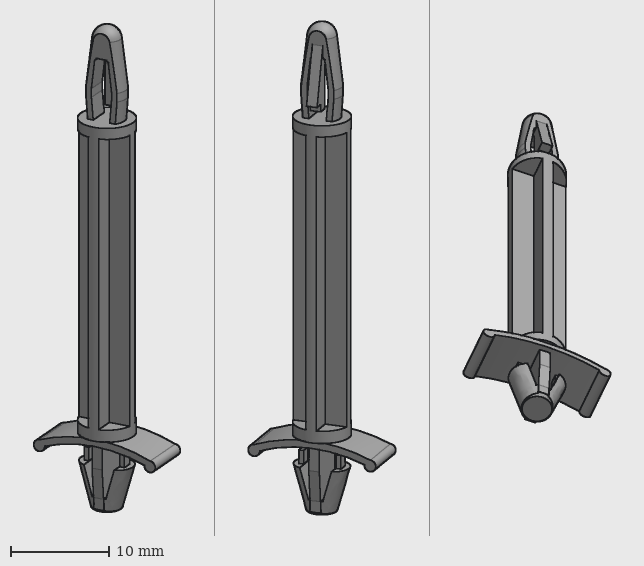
import cadquery as cq
import math

height = 52.7
collar_radius = 3.0
lower_collar_z = 8.2
lower_collar_top = 9.55
upper_collar_z = 41.3
upper_collar_top = 42.55
web = 1.15

plate_crown = 8.35
plate_thickness = 0.8
plate_bow_radius = 17.4
plate_depth = 5.5
bead_radius = 0.65
bead_x = 7.0 - bead_radius

anchor_radius = 1.85
foot_radius = 1.55
foot_chamfer = 0.3
foot_lean = -0.25
barb_top = 4.9
barb_reach = 3.0
barb_inner_top = 1.75
crotch_x = 0.8
crotch_z = 1.6
web_half_depth = 2.15
post_inner_x = 1.8
post_outer_x = 2.3
post_top = 6.4
post_root = 4.5

pin_half_depth = 1.2
dome_z = 51.4
dome_radius = 1.55
bulge_radius = 2.15
bulge_top = 45.95
bulge_bottom = 45.0
pin_root_radius = 2.0
slot_roof = 49.35
slot_shoulder_z = 49.05
slot_shoulder_x = 0.8
slot_bulge_x = 1.15
slot_root_x = 0.95

latch_top = 50.6
latch_step_z = 44.4
latch_bottom = 43.65
latch_reach = 2.8
latch_outer_y = 1.8
latch_inner_y = latch_outer_y - web
latch_fillet = 1.1


def cylinder(radius, bottom, top):
    return cq.Workplane("XY").workplane(offset=bottom).circle(radius).extrude(top - bottom)


def block(x_size, y_size, bottom, top):
    return cq.Workplane("XY").workplane(offset=bottom).rect(x_size, y_size).extrude(top - bottom)


def prism_y(points, depth):
    """Extrude an XZ outline symmetrically about the plane Y = 0."""
    return cq.Workplane("XZ").polyline(points).close().extrude(depth / 2, both=True)


def prism_x(points, width):
    """Extrude a YZ outline symmetrically about the plane X = 0."""
    return cq.Workplane("YZ").polyline(points).close().extrude(width / 2, both=True)


def mirrored(right_side):
    """Close an outline, given from bottom to top on its +X side, across X = 0."""
    return right_side + [(-x, z) for x, z in reversed(right_side)]


def make_column():
    span = 2 * collar_radius
    ribs = block(span, web, lower_collar_z, upper_collar_top)
    ribs = ribs.union(block(web, span, lower_collar_z, upper_collar_top))
    ribs = ribs.intersect(cylinder(collar_radius, lower_collar_z, upper_collar_top))
    lower_collar = cylinder(collar_radius, lower_collar_z, lower_collar_top)
    upper_collar = cylinder(collar_radius, upper_collar_z, upper_collar_top)
    return ribs.union(lower_collar).union(upper_collar)


def make_spring_plate():
    def bow_z(radius):
        return plate_crown - plate_bow_radius + math.sqrt(radius**2 - bead_x**2)

    inner_radius = plate_bow_radius - plate_thickness
    outer_end_z = bow_z(plate_bow_radius)
    inner_end_z = bow_z(inner_radius)
    plate = (
        cq.Workplane("XZ")
        .moveTo(-bead_x, outer_end_z)
        .threePointArc((0, plate_crown), (bead_x, outer_end_z))
        .lineTo(bead_x, inner_end_z)
        .threePointArc((0, plate_crown - plate_thickness), (-bead_x, inner_end_z))
        .close()
        .extrude(plate_depth / 2, both=True)
    )
    beads = (
        cq.Workplane("XZ")
        .pushPoints([(-bead_x, outer_end_z - bead_radius), (bead_x, outer_end_z - bead_radius)])
        .circle(bead_radius)
        .extrude(plate_depth / 2, both=True)
    )
    return plate.union(beads)


def make_barb():
    """Leaning round barb on the +X side, with its post."""
    top_lean = barb_reach - anchor_radius
    leaning_cylinder = (
        cq.Workplane("XY")
        .center(foot_lean, 0)
        .circle(anchor_radius)
        .workplane(offset=barb_top)
        .center(top_lean - foot_lean, 0)
        .circle(anchor_radius)
        .loft(ruled=True)
    )
    kept_side = [
        (0, 0),
        (2 * barb_reach, 0),
        (2 * barb_reach, barb_top),
        (barb_inner_top, barb_top),
        (crotch_x, crotch_z),
        (0, crotch_z),
    ]
    barb = leaning_cylinder.intersect(prism_y(kept_side, 4 * anchor_radius))
    post_width = post_outer_x - post_inner_x
    post = block(post_width, web, post_root, post_top).translate((post_inner_x + post_width / 2, 0, 0))
    return barb.union(post)


def make_anchor():
    web_top = plate_crown - plate_thickness / 2
    web_side = [
        (anchor_radius, 0),
        (anchor_radius, crotch_z),
        (web_half_depth, barb_top),
        (web_half_depth, web_top),
    ]
    barb = make_barb()
    anchor = prism_x(mirrored(web_side), web).union(barb).union(barb.mirror("YZ"))
    foot_cone = (
        cq.Workplane("XY")
        .circle(foot_radius)
        .workplane(offset=foot_chamfer)
        .circle(anchor_radius)
        .loft(ruled=True)
    )
    upper_space = block(4 * barb_reach, 4 * barb_reach, foot_chamfer, web_top)
    return anchor.intersect(foot_cone.union(upper_space))


def make_split_pin():
    dome_height = height - dome_z
    sphere_radius = (dome_radius**2 + dome_height**2) / (2 * dome_height)
    half_angle = math.asin(dome_radius / sphere_radius) / 2
    dome_middle = (
        sphere_radius * math.sin(half_angle),
        height - sphere_radius * (1 - math.cos(half_angle)),
    )
    pin = (
        cq.Workplane("XZ")
        .moveTo(0, upper_collar_z)
        .lineTo(pin_root_radius, upper_collar_z)
        .lineTo(pin_root_radius, upper_collar_top)
        .lineTo(bulge_radius, bulge_bottom)
        .lineTo(bulge_radius, bulge_top)
        .lineTo(dome_radius, dome_z)
        .threePointArc(dome_middle, (0, height))
        .close()
        .revolve(360, (0, 0, 0), (0, 1, 0))
    )
    pin = pin.intersect(block(2 * bulge_radius, 2 * pin_half_depth, upper_collar_z, height))
    slot_side = [
        (slot_root_x, upper_collar_top),
        (slot_bulge_x, bulge_bottom),
        (slot_bulge_x, bulge_top),
        (slot_shoulder_x, slot_shoulder_z),
        (web / 2, slot_roof),
    ]
    return pin.cut(prism_y(mirrored(slot_side), 2 * pin_half_depth))


def make_latch():
    fillet_offset = latch_fillet * (1 - math.sin(math.radians(45)))
    return (
        cq.Workplane("YZ")
        .moveTo(latch_inner_y, latch_bottom)
        .lineTo(latch_outer_y, latch_bottom)
        .lineTo(latch_outer_y, latch_step_z)
        .lineTo(latch_reach, latch_step_z)
        .lineTo(pin_half_depth, latch_top)
        .lineTo(latch_inner_y - latch_fillet, latch_top)
        .lineTo(latch_inner_y - latch_fillet, slot_roof)
        .threePointArc(
            (latch_inner_y - fillet_offset, slot_roof - fillet_offset),
            (latch_inner_y, slot_roof - latch_fillet),
        )
        .close()
        .extrude(web / 2, both=True)
    )


result = make_column()
for feature in (make_spring_plate(), make_anchor(), make_split_pin(), make_latch()):
    result = result.union(feature)